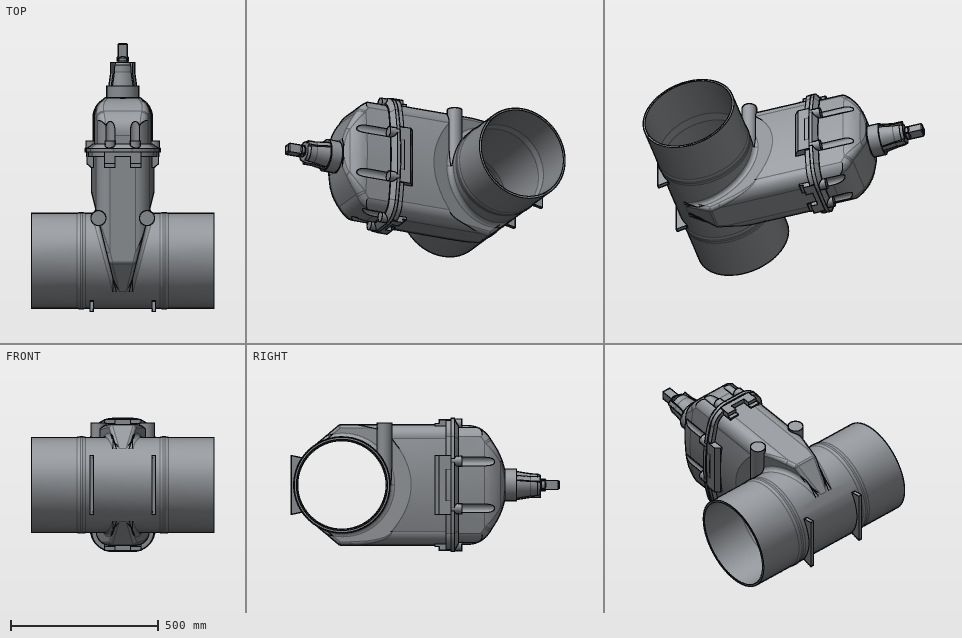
import cadquery as cq
import math


TOLERANCE = 0.01

PIPE_LENGTH = 620.0
PIPE_OD = 323.9
PIPE_ID = 309.7
BODY_OD = 324.0
BODY_BORE = 300.0
BEAD_OD = 328.02
BEAD_FOOT_IN = 126.0
BEAD_FOOT_OUT = 155.0
BEAD_FLAT_IN = 137.0
BEAD_FLAT_OUT = 144.0

FOOT_Y = -172.5
FOOT_ROOT_Y = -137.5
FOOT_HALF_WIDTH = 100.5
FOOT_ROOT_HALF_WIDTH = 93.0
FOOT_THICKNESS = 12.0
FOOT_X = 105.5

PIN_DIAMETER = 51.0
PIN_X = 82.5
PIN_Y = 145.0
PIN_TOP_Z = 210.5

NECK_TOP_Z = 205.0
NECK_HALF_FLAT = 43.0
NECK_SIDE_X = 106.5
NECK_CORNER = (90.0, 158.0)
WEDGE_WIDE_Y = 235.0
WEDGE_NARROW_Y = -130.0
WEDGE_RIDGE_X = 46.0
TANGENT_ANGLE = 40.0
NECK_EDGE_RADIUS = 12.0
RIM_TOOL_CLEARANCE = 0.1
WEDGE_KINK_RADIUS = 20.0
PIPE_BLEND_RADIUS = 14.0

RAMP_SLOPE = math.radians(TANGENT_ANGLE)
RAMP_FOOT_Y = -BODY_OD / 2 * math.sin(RAMP_SLOPE)
RAMP_FOOT_Z = BODY_OD / 2 * math.cos(RAMP_SLOPE)
RIDGE_Y = RAMP_FOOT_Y + (NECK_TOP_Z - RAMP_FOOT_Z) / math.tan(RAMP_SLOPE)

FLANGE_Y = 353.5
RIM_Y = 370.0
RIM_TOP_Y = 382.0
SHOULDER_TOP_Y = 396.0
RIM_TOP_Z = 453.35 / 2
RIM_HALF_FLAT = 32.0
RIM_CORNER = (109.0, 164.0)
RIM_SIDE_X = 128.5
RIM_STEP = 4.5

BONNET_TOP_Z = 202.0
BONNET_HALF_FLAT = 30.0
BONNET_CORNER = (87.0, 157.0)
BONNET_SIDE_X = 102.0
SHOULDER_MARGIN = 5.0
DOME_END_Y = 558.0
DOME_START_Y = 426.0
DOME_KNEE = (508.0, 150.0)
CROWN_Y = 553.0
CHEEK_START_Y = 484.0
CHEEK_KNEE = (80.0, 538.0)
CHEEK_END_X = 54.0
BOW_SWEEP = 50.0
SECTION_CLEARANCE = 1.0
DOME_EDGE_RADIUS = 25.0

BOLT_RADIUS = 17.5
BOLT_SEAT_Y = 407.0
FACE_BOLT = (42.5, 206.5)
SIDE_BOLT = (107.5, 80.5)

SKIRT_END_Y = 316.0
SKIRT_BEVEL_Y = 330.0
SKIRT_LIP_HEIGHT = 4.0
SIDE_SKIRT_X = 122.0
FACE_SKIRT_INNER_X = 27.0
FACE_SKIRT_OUTER_X = 62.0
SIDE_SKIRT_HALF_Z = 100.0

COLLAR_RADIUS = 54.5
COLLAR_LIP_RADIUS = 57.0
COLLAR_LIP_Y = 549.0
COLLAR_BASE_Y = 554.0
COLLAR_TOP_Y = 593.5
TOWER_BREAK_Y = 641.0
TOWER_CHAMFER_Y = 664.0
TOWER_TOP_Y = 674.0
TOWER_BASE_RADIUS = 46.0
TOWER_BREAK_RADIUS = 38.5
TOWER_TOP_RADIUS = 37.0
TOWER_END_RADIUS = 33.0
RIB_BASE_RADIUS = 50.0
RIB_TOP_RADIUS = 42.5
RIB_WIDTH = 17.0
RIB_ANGLES = (30, 150, 270)
STEM_NECK_RADIUS = 17.0
STEM_COLLAR_RADIUS = 20.0
STEM_COLLAR_Y = 678.0
STEM_COLLAR_CHAMFER = 4.0
SQUARE_START_Y = 693.0
STEM_END_Y = 738.5
SQUARE_SIDE = 31.0
SQUARE_CHAMFER = 4.0


def is_zero(length):
    return abs(length) < TOLERANCE


def xz_plane(y):
    """Plane square to the stem at height y, with local axes X and Z."""
    return cq.Plane(origin=(0, y, 0), xDir=(1, 0, 0), normal=(0, -1, 0))


def arc_middle(start_u, start_v, end_u, end_v):
    """Middle of an arc that starts heading along +u and bends down to the end point."""
    width = end_u - start_u
    drop = start_v - end_v
    radius = (width**2 + drop**2) / (2 * drop)
    half_sweep = math.atan2(drop, width)
    return start_u + radius * math.sin(half_sweep), start_v - radius * (1 - math.cos(half_sweep))


def stem_outline(y, half_flat, top_z, corner, side_x):
    """Rounded oblong: flat faces at +-Z, round corners, gently bowed sides at +-X."""
    cx, cz = corner
    mx, mz = arc_middle(half_flat, top_z, cx, cz)
    return (
        cq.Workplane(xz_plane(y))
        .moveTo(-half_flat, top_z)
        .lineTo(half_flat, top_z)
        .threePointArc((mx, mz), (cx, cz))
        .threePointArc((side_x, 0), (cx, -cz))
        .threePointArc((mx, -mz), (half_flat, -top_z))
        .lineTo(-half_flat, -top_z)
        .threePointArc((-mx, -mz), (-cx, -cz))
        .threePointArc((-side_x, 0), (-cx, cz))
        .threePointArc((-mx, mz), (-half_flat, top_z))
        .close()
    )


def stem_prism(y_low, y_high, *outline):
    return stem_outline(y_low, *outline).extrude(-(y_high - y_low))


def stem_turned(points):
    """Solid turned about the Y axis from (radius, y) points."""
    return cq.Workplane("XY").polyline(points).close().revolve(360, (0, 0, 0), (0, 1, 0))


def run_turned(points):
    """Solid turned about the X axis from (x, radius) points."""
    return cq.Workplane("XY").polyline(points).close().revolve(360, (0, 0, 0), (1, 0, 0))


def pipe_outside():
    half = PIPE_LENGTH / 2
    right = [
        (BEAD_FOOT_IN, BODY_OD / 2),
        (BEAD_FLAT_IN, BEAD_OD / 2),
        (BEAD_FLAT_OUT, BEAD_OD / 2),
        (BEAD_FOOT_OUT, PIPE_OD / 2),
        (half, PIPE_OD / 2),
    ]
    left = [(-x, r) for x, r in reversed(right)]
    return run_turned([(-half, 0)] + left + right + [(half, 0)])


def pipe_bore():
    half = PIPE_LENGTH / 2
    right = [
        (BEAD_FOOT_IN, BODY_BORE / 2),
        (BEAD_FOOT_OUT, PIPE_ID / 2),
        (half, PIPE_ID / 2),
    ]
    left = [(-x, r) for x, r in reversed(right)]
    return run_turned([(-half, 0)] + left + right + [(half, 0)])


def foot(x):
    return (
        cq.Workplane("YZ", origin=(x - FOOT_THICKNESS / 2, 0, 0))
        .polyline(
            [
                (FOOT_Y, -FOOT_HALF_WIDTH),
                (FOOT_Y, FOOT_HALF_WIDTH),
                (FOOT_ROOT_Y, FOOT_ROOT_HALF_WIDTH),
                (0, 0),
                (FOOT_ROOT_Y, -FOOT_ROOT_HALF_WIDTH),
            ]
        )
        .close()
        .extrude(FOOT_THICKNESS)
    )


def pin(x):
    return cq.Workplane("XY").center(x, PIN_Y).circle(PIN_DIAMETER / 2).extrude(PIN_TOP_Z)


def neck_section():
    return stem_prism(
        RAMP_FOOT_Y, FLANGE_Y, NECK_HALF_FLAT, NECK_TOP_Z, NECK_CORNER, NECK_SIDE_X
    )


def neck_ramps():
    """Side outline of the neck, with end ramps tangent to the pipe, carried across in X."""
    return (
        cq.Workplane("YZ")
        .polyline(
            [
                (FLANGE_Y, NECK_TOP_Z),
                (RIDGE_Y, NECK_TOP_Z),
                (RAMP_FOOT_Y, RAMP_FOOT_Z),
                (RAMP_FOOT_Y, -RAMP_FOOT_Z),
                (RIDGE_Y, -NECK_TOP_Z),
                (FLANGE_Y, -NECK_TOP_Z),
            ]
        )
        .close()
        .extrude(NECK_SIDE_X, both=True)
    )


def neck_wedge():
    """Plan outline of the neck, narrowing towards the pipe, carried through in Z."""
    slope = (NECK_SIDE_X - WEDGE_RIDGE_X) / (WEDGE_WIDE_Y - RIDGE_Y)
    narrow_x = WEDGE_RIDGE_X - slope * (RIDGE_Y - WEDGE_NARROW_Y)
    outline = [
        (-narrow_x, -FLANGE_Y),
        (narrow_x, -FLANGE_Y),
        (narrow_x, WEDGE_NARROW_Y),
        (NECK_SIDE_X, WEDGE_WIDE_Y),
        (NECK_SIDE_X, FLANGE_Y),
        (-NECK_SIDE_X, FLANGE_Y),
        (-NECK_SIDE_X, WEDGE_WIDE_Y),
        (-narrow_x, WEDGE_NARROW_Y),
    ]
    wedge = cq.Workplane("XY").polyline(outline).close().extrude(NECK_TOP_Z, both=True)
    kinks = [e for e in wedge.edges("|Z").vals() if is_zero(e.Center().y - WEDGE_NARROW_Y)]
    return wedge.newObject(kinks).fillet(WEDGE_KINK_RADIUS)


def body_neck():
    """Neck blended into the pipe, with the edges along its wedge faces and ramps rounded."""
    pipe = cq.Workplane("YZ").circle(BODY_OD / 2).extrude(BEAD_FOOT_IN, both=True)
    joined = pipe.union(neck_wedge())
    seams = [e for e in joined.edges().vals() if is_pipe_seam(e)]
    blended = joined.newObject(seams).fillet(PIPE_BLEND_RADIUS)
    envelope = neck_section().intersect(neck_ramps())
    neck = blended.intersect(envelope)
    return neck.cut(ramp_rounding()).cut(rim_rounding())


def is_pipe_seam(edge):
    """True for the curves on the pipe surface that bound the wedge."""
    points = edge.positions([0, 0.3, 0.6])
    on_pipe = all(is_zero(math.hypot(p.y, p.z) - BODY_OD / 2) for p in points)
    return on_pipe and all(abs(p.x) < BEAD_FOOT_IN - TOLERANCE for p in points)


def ramp_rounding():
    """Material removed to round the ridges and the edges of the ramps."""
    sharp = neck_ramps().intersect(neck_wedge())
    edges = [e for e in sharp.edges().vals() if is_ramp_edge(e)]
    return sharp.cut(sharp.newObject(edges).fillet(NECK_EDGE_RADIUS))


def is_ramp_edge(edge):
    """True for the ridges and for the straight edges between wedge faces, ramps and top."""
    middle = edge.Center()
    is_ridge = is_zero(middle.x) and is_zero(middle.y - RIDGE_Y)
    on_wedge = RAMP_FOOT_Y + 1 < middle.y < WEDGE_WIDE_Y - 1 and not is_zero(middle.x)
    return is_ridge or (on_wedge and abs(middle.z) > RAMP_FOOT_Z)


def rim_rounding():
    """Material removed to round the curved rims that the wedge faces cut on the neck."""
    corner_x, corner_z = NECK_CORNER
    corner_radius = NECK_TOP_Z - corner_z - RIM_TOOL_CLEARANCE
    sharp = (
        cq.Workplane(xz_plane(RAMP_FOOT_Y))
        .rect(2 * corner_x, 2 * NECK_TOP_Z)
        .extrude(-(FLANGE_Y - RAMP_FOOT_Y))
        .edges("|Y")
        .fillet(corner_radius)
        .intersect(neck_wedge())
    )
    rims = [e for e in sharp.edges().vals() if is_wedge_rim(e)]
    shavings = sharp.cut(sharp.newObject(rims).fillet(NECK_EDGE_RADIUS))
    flank = cq.Workplane("XY").box(2 * NECK_SIDE_X, 2 * FLANGE_Y, 2 * corner_z)
    return shavings.cut(flank)


def is_wedge_rim(edge):
    """True for the smooth chains around each wedge face, from the flat top to the flank."""
    middle = edge.Center()
    if edge.geomType() != "LINE":
        return RAMP_FOOT_Y + 1 < middle.y < WEDGE_WIDE_Y
    on_top = RAMP_FOOT_Y + 1 < middle.y < 0 and not is_zero(middle.x)
    on_flank = is_zero(abs(middle.x) - NECK_CORNER[0]) and is_zero(middle.z) and middle.y > 0
    return on_top or (on_flank and middle.y < WEDGE_WIDE_Y)


def flanges():
    lower = stem_prism(
        FLANGE_Y,
        RIM_Y,
        NECK_HALF_FLAT,
        RIM_TOP_Z - RIM_STEP,
        (RIM_CORNER[0] - RIM_STEP, RIM_CORNER[1]),
        RIM_SIDE_X - RIM_STEP,
    )
    rim_outline = (RIM_HALF_FLAT, RIM_TOP_Z, RIM_CORNER, RIM_SIDE_X)
    rim = stem_prism(RIM_Y, RIM_TOP_Y, *rim_outline)
    low_wire = stem_outline(RIM_TOP_Y, *rim_outline).val()
    high_wire = stem_outline(
        SHOULDER_TOP_Y,
        BONNET_HALF_FLAT,
        BONNET_TOP_Z + SHOULDER_MARGIN,
        (BONNET_CORNER[0] + SHOULDER_MARGIN, BONNET_CORNER[1]),
        BONNET_SIDE_X + SHOULDER_MARGIN,
    ).val()
    shoulder = cq.Workplane(cq.Solid.makeLoft([low_wire, high_wire], True))
    return lower.union(rim).union(shoulder)


def bonnet():
    """Dome arched over in Z, closed by bowed cheeks at +-X and held inside the stem section."""
    corner_x, corner_z = BONNET_CORNER
    section = stem_prism(
        RIM_Y,
        DOME_END_Y,
        BONNET_HALF_FLAT,
        BONNET_TOP_Z,
        (corner_x + SECTION_CLEARANCE, corner_z),
        BONNET_SIDE_X + SECTION_CLEARANCE,
    )
    knee_y, knee_z = DOME_KNEE
    shoulder_y, shoulder_z = arc_middle(DOME_START_Y, BONNET_TOP_Z, knee_y, knee_z)
    arch = (
        cq.Workplane("YZ")
        .moveTo(RIM_Y, -BONNET_TOP_Z)
        .lineTo(RIM_Y, BONNET_TOP_Z)
        .lineTo(DOME_START_Y, BONNET_TOP_Z)
        .threePointArc((shoulder_y, shoulder_z), (knee_y, knee_z))
        .threePointArc((DOME_END_Y, 0), (knee_y, -knee_z))
        .threePointArc((shoulder_y, -shoulder_z), (DOME_START_Y, -BONNET_TOP_Z))
        .close()
        .extrude(BONNET_SIDE_X, both=True)
    )
    right = bonnet_side()
    dome = arch.intersect(right).intersect(right.mirror("YZ"))
    crown = cq.Workplane("XY").box(2 * RIM_SIDE_X, 2 * CROWN_Y, 2 * RIM_TOP_Z)
    dome = dome.intersect(crown)
    corners = [e for e in dome.edges().vals() if is_dome_corner(e)]
    return dome.newObject(corners).fillet(DOME_EDGE_RADIUS).intersect(section)


def bonnet_side():
    """Block whose +X face has the plan outline of the bonnet, bowed along Z."""
    corner_x, corner_z = BONNET_CORNER
    bow_depth = BONNET_SIDE_X - corner_x
    bow_radius = (corner_z**2 + bow_depth**2) / (2 * bow_depth)
    axis_x = BONNET_SIDE_X - bow_radius
    cheek_x, cheek_y = CHEEK_KNEE
    bulge_y, bulge_x = arc_middle(CHEEK_START_Y, BONNET_SIDE_X, cheek_y, cheek_x)
    block = (
        cq.Workplane("XY")
        .moveTo(-BONNET_SIDE_X - bow_depth, RIM_Y)
        .lineTo(BONNET_SIDE_X, RIM_Y)
        .lineTo(BONNET_SIDE_X, CHEEK_START_Y)
        .threePointArc((bulge_x, bulge_y), (cheek_x, cheek_y))
        .lineTo(CHEEK_END_X, DOME_END_Y)
        .lineTo(-BONNET_SIDE_X - bow_depth, DOME_END_Y)
        .close()
        .revolve(BOW_SWEEP, (axis_x, 0, 0), (axis_x, 1, 0))
    )
    return block.rotate((axis_x, 0, 0), (axis_x, 1, 0), -BOW_SWEEP / 2)


def is_dome_corner(edge):
    """True for the edges where the curved sides of the dome meet, not those across it."""
    middle = edge.Center()
    return middle.y > RIM_Y and not (is_zero(middle.x) or is_zero(middle.z))


def bolt_cylinders(y_low, y_high):
    """One cylinder along Y at each of the eight bolt places."""
    places = [
        (sx * x, sz * z)
        for x, z in (FACE_BOLT, SIDE_BOLT)
        for sx in (-1, 1)
        for sz in (-1, 1)
    ]
    return (
        cq.Workplane(xz_plane(y_low))
        .pushPoints(places)
        .circle(BOLT_RADIUS)
        .extrude(-(y_high - y_low))
    )


def face_skirts():
    """Four short stepped skirts under the flange on the +-Z faces."""
    outer_z = RIM_TOP_Z - RIM_STEP
    lip_z = NECK_TOP_Z + SKIRT_LIP_HEIGHT
    width = FACE_SKIRT_OUTER_X - FACE_SKIRT_INNER_X
    skirt = (
        cq.Workplane("YZ", origin=(FACE_SKIRT_INNER_X, 0, 0))
        .polyline(
            [
                (RIM_Y, 0),
                (RIM_Y, outer_z),
                (SKIRT_BEVEL_Y, outer_z),
                (SKIRT_BEVEL_Y, lip_z),
                (SKIRT_END_Y, lip_z),
                (SKIRT_END_Y, 0),
            ]
        )
        .close()
        .extrude(width)
    )
    skirt = skirt.union(skirt.mirror("YZ"))
    return skirt.union(skirt.mirror("XY"))


def side_skirts():
    """Long bevelled skirt under the flange on each +-X side."""
    return (
        cq.Workplane("XY")
        .polyline(
            [
                (-SIDE_SKIRT_X, RIM_Y),
                (SIDE_SKIRT_X, RIM_Y),
                (SIDE_SKIRT_X, SKIRT_BEVEL_Y),
                (NECK_SIDE_X, SKIRT_END_Y),
                (-NECK_SIDE_X, SKIRT_END_Y),
                (-SIDE_SKIRT_X, SKIRT_BEVEL_Y),
            ]
        )
        .close()
        .extrude(SIDE_SKIRT_HALF_Z, both=True)
    )


def stem_tower():
    return stem_turned(
        [
            (0, DOME_START_Y),
            (COLLAR_LIP_RADIUS, DOME_START_Y),
            (COLLAR_LIP_RADIUS, COLLAR_LIP_Y),
            (COLLAR_RADIUS, COLLAR_BASE_Y),
            (COLLAR_RADIUS, COLLAR_TOP_Y),
            (TOWER_BASE_RADIUS, COLLAR_TOP_Y),
            (TOWER_BREAK_RADIUS, TOWER_BREAK_Y),
            (TOWER_TOP_RADIUS, TOWER_CHAMFER_Y),
            (TOWER_END_RADIUS, TOWER_TOP_Y),
            (STEM_NECK_RADIUS, TOWER_TOP_Y),
            (STEM_NECK_RADIUS, STEM_COLLAR_Y),
            (STEM_COLLAR_RADIUS, STEM_COLLAR_Y),
            (STEM_COLLAR_RADIUS, SQUARE_START_Y - STEM_COLLAR_CHAMFER),
            (STEM_COLLAR_RADIUS - STEM_COLLAR_CHAMFER, SQUARE_START_Y),
            (0, SQUARE_START_Y),
        ]
    )


def tower_rib(angle):
    """Rib on the tower, pointing at the given angle from +X towards +Z."""
    rib = (
        cq.Workplane("XY")
        .polyline(
            [
                (0, COLLAR_TOP_Y),
                (RIB_BASE_RADIUS, COLLAR_TOP_Y),
                (RIB_TOP_RADIUS, TOWER_BREAK_Y),
                (RIB_TOP_RADIUS, TOWER_TOP_Y),
                (0, TOWER_TOP_Y),
            ]
        )
        .close()
        .extrude(RIB_WIDTH / 2, both=True)
    )
    return rib.rotate((0, 0, 0), (0, 1, 0), -angle)


def stem_square():
    return (
        cq.Workplane(xz_plane(STEM_COLLAR_Y))
        .rect(SQUARE_SIDE, SQUARE_SIDE)
        .extrude(-(STEM_END_Y - STEM_COLLAR_Y))
        .faces(">Y")
        .chamfer(SQUARE_CHAMFER)
    )


result = pipe_outside().union(body_neck())
result = result.union(flanges()).union(face_skirts()).union(side_skirts())
result = result.union(bonnet()).union(stem_tower()).union(bolt_cylinders(RIM_Y, BOLT_SEAT_Y))
result = result.cut(bolt_cylinders(BOLT_SEAT_Y, DOME_END_Y))
for rib_angle in RIB_ANGLES:
    result = result.union(tower_rib(rib_angle))
result = result.union(stem_square())
for side in (-1, 1):
    result = result.union(foot(side * FOOT_X)).union(pin(side * PIN_X))
result = result.cut(pipe_bore())